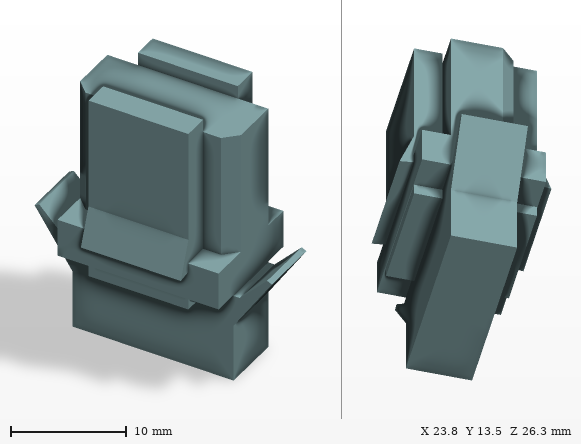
import cadquery as cq

core_width = 16.1
core_depth = 5.9
core_height = 25.0
key_chamfer = 1.25

flange_depth = 11.02
flange_bottom = 9.0
flange_top = 12.75

latch_width = 10.0
latch_top = 26.3
latch_recess = 0.05
tab_bottom = 7.9
hook_start = 15.2
hook_tip = 11.65
hook_inner = 11.83
hook_span = 13.49

wing_span = 23.75
wing_bottom = 5.75
wing_root = 8.89
wing_root_ledge = 0.63
wing_tip_bottom = 11.4
wing_tip_top = 11.65
wing_tip_inset = 0.47


def block(width, depth, bottom, top):
    """Box centred on the Z axis between two heights."""
    return cq.Workplane("XY").workplane(offset=bottom).rect(width, depth).extrude(top - bottom)


def make_core():
    """Core with its two front vertical edges chamfered above the flange."""
    lower = block(core_width, core_depth, 0, flange_top)
    upper = block(core_width, core_depth, flange_top, core_height)
    upper = upper.faces("<Y").edges("|Z").chamfer(key_chamfer)
    return lower.union(upper)


def make_latch():
    """Front latch: a side profile in YZ, extruded across the latch width."""
    inner = -core_depth / 2
    outer = latch_recess - flange_depth / 2
    profile = [
        (inner, tab_bottom),
        (outer, tab_bottom),
        (outer, hook_inner),
        (-hook_span / 2, hook_tip),
        (outer, hook_start),
        (outer, latch_top),
        (inner, latch_top),
    ]
    return cq.Workplane("YZ").polyline(profile).close().extrude(latch_width / 2, both=True)


def make_wing():
    """Wing on the +X end: a profile in XZ, as deep as the core."""
    root = core_width / 2
    tip = wing_span / 2
    profile = [
        (root, wing_bottom),
        (tip, wing_tip_bottom),
        (tip - wing_tip_inset, wing_tip_top),
        (root + wing_root_ledge, wing_root),
        (root, wing_root),
    ]
    return cq.Workplane("XZ").polyline(profile).close().extrude(core_depth / 2, both=True)


latch = make_latch()
wing = make_wing()

result = (
    make_core()
    .union(block(core_width, flange_depth, flange_bottom, flange_top))
    .union(latch)
    .union(latch.mirror("XZ"))
    .union(wing)
    .union(wing.mirror("YZ"))
)